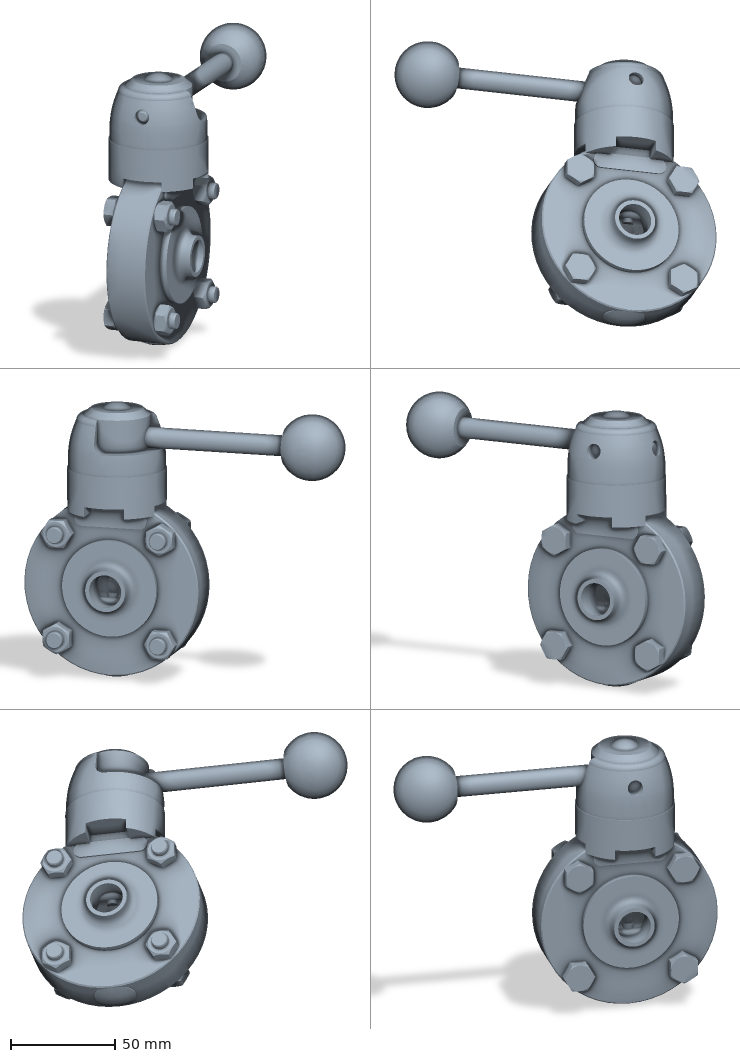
import cadquery as cq
import math


BODY_DIAMETER = 87.2
BODY_WIDTH = 20.0
BODY_EDGE_CHAMFER = 0.6
HUB_DIAMETER = 47.0
HUB_LENGTH = 26.7
SPOUT_DIAMETER = 20.0
SPOUT_LENGTH = 40.1
SPOUT_ROOT_RADIUS = 4.0
BORE_DIAMETER = 16.0
PAD_LENGTH = 36.2
PAD_HEIGHT = 7.7
PAD_THICKNESS = 1.0
PAD_CENTRE_Z = 33.4
FOOT_DIAMETER = 20.0
FOOT_EDGE_Z = -43.1
FOOT_DOME_HEIGHT = 2.4

DISC_WEB_HALF_THICKNESS = 6.1
DISC_WEB_HALF_HEIGHT = 3.3
DISC_FLANK_HALF_HEIGHT = 5.3
DISC_WALL_OVERLAP = 0.3
DISC_BOSS_DIAMETER = 5.5
DISC_BUTTON_DIAMETER = 7.0
DISC_BUTTON_HEIGHT = 0.6

BOLT_OFFSET = 25.8
HEX_ACROSS_FLATS = 13.2
COLLAR_DIAMETER = 12.3
COLLAR_THICKNESS = 0.5
HEAD_HEIGHT = 5.2
HEAD_END_DIAMETER = 13.2
HEAD_CHAMFER_HEIGHT = 0.5
NUT_HEIGHT = 6.3
NUT_END_DIAMETER = 12.3
NUT_CHAMFER_HEIGHT = 1.3
NUT_SEAT_DIAMETER = 13.2
NUT_SEAT_CHAMFER_HEIGHT = 0.6
SHANK_DIAMETER = 8.0
SHANK_END_X = 19.8
SHANK_CHAMFER_HEIGHT = 0.8
SHANK_CHAMFER_WIDTH = 0.4

HOUSING_DIAMETER = 48.0
HOUSING_BOTTOM_Z = 36.5
HOUSING_SLOT_TOP_Z = 41.4
HOUSING_TOP_Z = 57.1

CAP_BASE_RADIUS = 23.52
CAP_MIDDLE_RADIUS = 23.0
CAP_MIDDLE_Z = 69.0
CAP_SHOULDER_RADIUS = 19.5
CAP_SHOULDER_Z = 80.5
CAP_RIM_Z = 83.4
CROWN_BASE_RADIUS = 16.2
CROWN_TOP_RADIUS = 12.7
CROWN_TOP_Z = 86.4
CROWN_DOME_DIAMETER = 13.4
CROWN_DOME_HEIGHT = 2.7

LEVER_Z = 72.7
LEVER_DIAMETER = 10.0
LEVER_START_Y = 7.9
BALL_DIAMETER = 32.1
BALL_CENTRE_Y = 97.7
BALL_FLAT_Y = 84.6
SIDE_HOLE_DIAMETER = 7.4
SIDE_HOLE_FLOOR_RADIUS = 17.3
SCREW_TIP_DIAMETER = 4.1
SCREW_TIP_RADIUS = 21.0
SCREW_CONE_LENGTH = 1.5

BODY_HALF = BODY_WIDTH / 2
DISC_FLANK_X = DISC_WEB_HALF_THICKNESS + DISC_FLANK_HALF_HEIGHT - DISC_WEB_HALF_HEIGHT
DISC_HUB_HALF_THICKNESS = DISC_FLANK_X + BORE_DIAMETER / 2 - DISC_FLANK_HALF_HEIGHT
HEX_ACROSS_CORNERS = HEX_ACROSS_FLATS / math.cos(math.pi / 6)
HEX_CORNER_RADIUS = HEX_ACROSS_CORNERS / 2


def x_cylinder(diameter, start, length):
    return cq.Workplane("YZ", origin=(start, 0, 0)).circle(diameter / 2).extrude(length)


def z_dome(diameter, base_z, height):
    """Spherical cap on the Z axis; a negative height makes it point down."""
    radius = diameter / 2
    sphere_radius = (radius**2 + height**2) / (2 * abs(height))
    sphere_drop = sphere_radius - abs(height)
    half_angle = math.asin(radius / sphere_radius) / 2
    direction = math.copysign(1, height)
    arc_middle = (
        sphere_radius * math.sin(half_angle),
        base_z + direction * (sphere_radius * math.cos(half_angle) - sphere_drop),
    )
    return (
        cq.Workplane("XZ")
        .moveTo(0, base_z)
        .lineTo(radius, base_z)
        .threePointArc(arc_middle, (0, base_z + height))
        .close()
        .revolve(360, (0, 0), (0, 1))
    )


def make_body():
    body = x_cylinder(BODY_DIAMETER, -BODY_HALF, BODY_WIDTH).edges().chamfer(BODY_EDGE_CHAMFER)
    body = body.union(x_cylinder(HUB_DIAMETER, -HUB_LENGTH / 2, HUB_LENGTH))
    root_radius = SPOUT_DIAMETER / 2 + SPOUT_ROOT_RADIUS
    root_end = HUB_LENGTH / 2 + SPOUT_ROOT_RADIUS
    arc_step = SPOUT_ROOT_RADIUS * math.sqrt(0.5)
    spout = (
        cq.Workplane("XY")
        .lineTo(0, root_radius)
        .lineTo(HUB_LENGTH / 2, root_radius)
        .threePointArc((root_end - arc_step, root_radius - arc_step), (root_end, SPOUT_DIAMETER / 2))
        .lineTo(SPOUT_LENGTH / 2, SPOUT_DIAMETER / 2)
        .lineTo(SPOUT_LENGTH / 2, 0)
        .close()
        .revolve(360, (0, 0), (1, 0))
    )
    body = body.union(spout).union(spout.mirror("YZ"))
    pad_span = BODY_WIDTH + 2 * PAD_THICKNESS
    pads = (
        cq.Workplane("YZ", origin=(-pad_span / 2, 0, PAD_CENTRE_Z))
        .slot2D(PAD_LENGTH, PAD_HEIGHT)
        .extrude(pad_span)
    )
    foot = cq.Workplane("XY").workplane(offset=FOOT_EDGE_Z).circle(FOOT_DIAMETER / 2)
    foot = foot.extrude(FOOT_DIAMETER / 2)
    foot = foot.union(z_dome(FOOT_DIAMETER, FOOT_EDGE_Z, -FOOT_DOME_HEIGHT))
    body = body.union(pads).union(foot)
    return body.cut(x_cylinder(BORE_DIAMETER, -SPOUT_LENGTH / 2, SPOUT_LENGTH))


def make_butterfly():
    """Closed disc: a flat web across the middle, rounded hubs above and below it,
    and a half-round boss in the fillet under each hub."""
    width = BORE_DIAMETER + 2 * DISC_WALL_OVERLAP
    web_x = DISC_WEB_HALF_THICKNESS
    bore_radius = BORE_DIAMETER / 2
    fillet_step = (DISC_FLANK_X - web_x) * math.sqrt(0.5)
    crest_step = (DISC_HUB_HALF_THICKNESS - DISC_FLANK_X) * math.sqrt(0.5)
    fillet_middle = (DISC_FLANK_X - fillet_step, DISC_WEB_HALF_HEIGHT + fillet_step)
    crest_middle = (DISC_FLANK_X + crest_step, bore_radius - crest_step)
    quarter = (
        cq.Workplane("XZ", origin=(0, width / 2, 0))
        .lineTo(web_x, 0)
        .lineTo(web_x, DISC_WEB_HALF_HEIGHT)
        .threePointArc(fillet_middle, (DISC_FLANK_X, DISC_FLANK_HALF_HEIGHT))
        .threePointArc(crest_middle, (DISC_HUB_HALF_THICKNESS, bore_radius))
        .lineTo(DISC_HUB_HALF_THICKNESS, width / 2)
        .lineTo(0, width / 2)
        .close()
        .extrude(width)
    )
    half = quarter.union(quarter.mirror("XY"))
    boss = (
        cq.Workplane("XY", origin=(web_x, 0, DISC_WEB_HALF_HEIGHT))
        .circle(DISC_BOSS_DIAMETER / 2)
        .extrude(bore_radius - DISC_WEB_HALF_HEIGHT)
    )
    button = z_dome(DISC_BUTTON_DIAMETER, web_x, DISC_BUTTON_HEIGHT).rotate((0, 0, 0), (0, 1, 0), 90)
    half = half.union(boss).union(boss.mirror("XY")).union(button)
    disc = half.union(half.mirror("YZ"))
    return disc.intersect(x_cylinder(width, -DISC_HUB_HALF_THICKNESS, 2 * DISC_HUB_HALF_THICKNESS))


def make_hex(height, end_chamfer_height, end_diameter):
    """Hexagon standing on the YZ plane, points along Z, with its far corners turned conical."""
    prism = cq.Workplane("YZ").polygon(6, HEX_ACROSS_CORNERS).extrude(height)
    prism = prism.rotate((0, 0, 0), (1, 0, 0), 90)
    return prism.intersect(make_turned_blank(height, end_chamfer_height, end_diameter))


def make_turned_blank(height, end_chamfer_height, end_diameter):
    """Cylinder around the hexagon corners that narrows to the end diameter at +X."""
    return (
        cq.Workplane("XY")
        .lineTo(0, HEX_CORNER_RADIUS)
        .lineTo(height - end_chamfer_height, HEX_CORNER_RADIUS)
        .lineTo(height, end_diameter / 2)
        .lineTo(height, 0)
        .close()
        .revolve(360, (0, 0), (1, 0))
    )


def make_bolt():
    """One bolt on the X axis: head at -X, nut and shank end at +X, a thin collar under each."""
    seat = BODY_HALF + COLLAR_THICKNESS
    head = make_hex(HEAD_HEIGHT, HEAD_CHAMFER_HEIGHT, HEAD_END_DIAMETER)
    head = head.mirror("YZ").translate((-seat, 0, 0))
    nut = make_hex(NUT_HEIGHT, NUT_CHAMFER_HEIGHT, NUT_END_DIAMETER)
    seat_blank = make_turned_blank(NUT_HEIGHT, NUT_SEAT_CHAMFER_HEIGHT, NUT_SEAT_DIAMETER)
    nut = nut.intersect(seat_blank.mirror("YZ").translate((NUT_HEIGHT, 0, 0))).translate((seat, 0, 0))
    collars = x_cylinder(COLLAR_DIAMETER, -seat, 2 * seat)
    shank = x_cylinder(SHANK_DIAMETER, 0, SHANK_END_X)
    shank = shank.faces(">X").chamfer(SHANK_CHAMFER_HEIGHT, SHANK_CHAMFER_WIDTH)
    return collars.union(head).union(nut).union(shank)


def make_housing():
    housing = (
        cq.Workplane("XY", origin=(0, 0, HOUSING_BOTTOM_Z))
        .circle(HOUSING_DIAMETER / 2)
        .extrude(HOUSING_TOP_Z - HOUSING_BOTTOM_Z)
    )
    slot_depth = HOUSING_SLOT_TOP_Z - HOUSING_BOTTOM_Z
    slots = cq.Workplane("XY", origin=(0, 0, HOUSING_BOTTOM_Z)).rect(BODY_WIDTH, HOUSING_DIAMETER)
    slots = slots.extrude(slot_depth)
    return housing.cut(slots).cut(slots.rotate((0, 0, 0), (0, 0, 1), 90))


def make_cap():
    shoulder_bulge = math.sqrt(0.5)
    arc_middle = (
        CROWN_BASE_RADIUS + shoulder_bulge * (CAP_SHOULDER_RADIUS - CROWN_BASE_RADIUS),
        CAP_SHOULDER_Z + shoulder_bulge * (CAP_RIM_Z - CAP_SHOULDER_Z),
    )
    cap = (
        cq.Workplane("XZ")
        .moveTo(0, HOUSING_TOP_Z)
        .lineTo(CAP_BASE_RADIUS, HOUSING_TOP_Z)
        .threePointArc((CAP_MIDDLE_RADIUS, CAP_MIDDLE_Z), (CAP_SHOULDER_RADIUS, CAP_SHOULDER_Z))
        .threePointArc(arc_middle, (CROWN_BASE_RADIUS, CAP_RIM_Z))
        .lineTo(CROWN_TOP_RADIUS, CROWN_TOP_Z)
        .lineTo(0, CROWN_TOP_Z)
        .close()
        .revolve(360, (0, 0), (0, 1))
    )
    cap = cap.cut(make_swing_slot())
    cap = cap.union(z_dome(CROWN_DOME_DIAMETER, CROWN_TOP_Z, CROWN_DOME_HEIGHT))
    return add_side_holes(cap)


def make_swing_slot():
    """Quarter-turn slot for the lever, open at the top, with a rounded wall at each end."""
    reach = HOUSING_DIAMETER / 2
    height = CROWN_TOP_Z - LEVER_Z
    lever_radius = LEVER_DIAMETER / 2
    quarter = cq.Workplane("XY", origin=(0, 0, LEVER_Z - lever_radius)).rect(reach, reach, centered=False)
    quarter = quarter.extrude(height + lever_radius)
    end = x_cylinder(LEVER_DIAMETER, 0, reach).translate((0, 0, LEVER_Z))
    end = end.union(
        cq.Workplane("XY", origin=(0, -lever_radius, LEVER_Z))
        .rect(reach, LEVER_DIAMETER, centered=False)
        .extrude(height)
    )
    slot = quarter.union(end).union(end.mirror("XZ").rotate((0, 0, 0), (0, 0, 1), 90))
    return slot.cut(cq.Workplane("XY").circle(CROWN_BASE_RADIUS).extrude(CROWN_TOP_Z))


def add_side_holes(cap):
    """Blind radial holes facing -X and -Y; a cone-pointed screw sits in the -Y one."""
    hole_length = HOUSING_DIAMETER / 2 - SIDE_HOLE_FLOOR_RADIUS
    hole = x_cylinder(SIDE_HOLE_DIAMETER, -HOUSING_DIAMETER / 2, hole_length)
    cone_base = SCREW_TIP_RADIUS - SCREW_CONE_LENGTH
    screw = (
        cq.Workplane("XY")
        .moveTo(-SIDE_HOLE_FLOOR_RADIUS, 0)
        .lineTo(-SIDE_HOLE_FLOOR_RADIUS, SIDE_HOLE_DIAMETER / 2)
        .lineTo(-cone_base, SIDE_HOLE_DIAMETER / 2)
        .lineTo(-SCREW_TIP_RADIUS, SCREW_TIP_DIAMETER / 2)
        .lineTo(-SCREW_TIP_RADIUS, 0)
        .close()
        .revolve(360, (0, 0), (1, 0))
    )
    hole = hole.translate((0, 0, LEVER_Z))
    screw = screw.translate((0, 0, LEVER_Z))
    screw_hole = hole.cut(screw).rotate((0, 0, 0), (0, 0, 1), 90)
    return cap.cut(hole).cut(screw_hole)


def make_lever():
    lever = (
        cq.Workplane("XZ", origin=(0, LEVER_START_Y, LEVER_Z))
        .circle(LEVER_DIAMETER / 2)
        .extrude(LEVER_START_Y - BALL_CENTRE_Y)
    )
    ball = cq.Workplane("XY").sphere(BALL_DIAMETER / 2).translate((0, BALL_CENTRE_Y, LEVER_Z))
    below_flat = (
        cq.Workplane("XZ", origin=(0, BALL_FLAT_Y, LEVER_Z))
        .rect(BALL_DIAMETER, BALL_DIAMETER)
        .extrude(BALL_DIAMETER)
    )
    return lever.union(ball.cut(below_flat))


result = make_body().union(make_butterfly())
bolt = make_bolt().translate((0, BOLT_OFFSET, BOLT_OFFSET))
for quarter_turn in range(4):
    result = result.union(bolt.rotate((0, 0, 0), (1, 0, 0), 90 * quarter_turn))
result = result.union(make_housing()).union(make_cap()).union(make_lever())